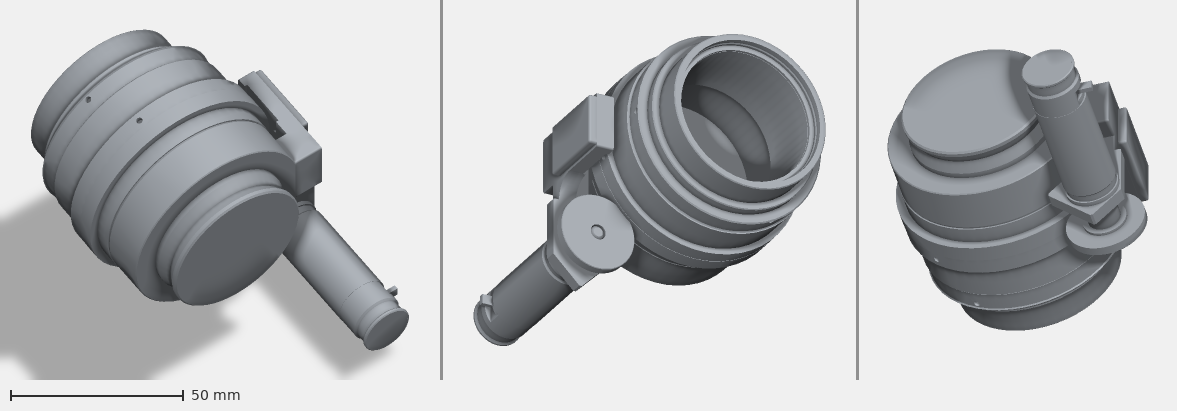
import cadquery as cq
import math


EDGE_CHAMFER = 0.3

RIM_RADIUS = 24.7
COLLAR_START = 9.7
COLLAR_RADIUS = 26.9
FOCUS_START = 13
FOCUS_END = 19.3
FOCUS_RADIUS = 29.5
FOCUS_LIP_RADIUS = 29.9
SLEEVE_START = 19.6
SLEEVE_RADIUS = 30.1
ZOOM_RING_START = 30.1
GEAR_RING_START = 35
GEAR_RING_END = 40.0
ZOOM_RING_RADIUS = 31.9
GEAR_RING_RADIUS = 32
REAR_SLEEVE_RADIUS = 29.4
REAR_GROOVE_START = 45.0
REAR_GROOVE_RADIUS = 28.9
REAR_HOUSING_START = 45.7
REAR_HOUSING_END = 58.7
REAR_HOUSING_RADIUS = 29.2
MOUNT_RADIUS = 22.2
V_GROOVE_START = 60.4
V_GROOVE_BOTTOM = 63.7
V_GROOVE_END = 67.0
V_GROOVE_RADIUS = 20.5
MOUNT_CHAMFER_START = 68.1
MOUNT_CHAMFER = 0.5

RIM_BORE_RADIUS = 22.7
RIM_BORE_DEPTH = 2
SEAT_RADIUS = 22.4
SEAT_DEPTH = 3.2
LIP_RADIUS = 20.9
LIP_DEPTH = 4.1
BORE_RADIUS = 20.8
BORE_DEPTH = 27.6
CHAMBER_RADIUS = SEAT_RADIUS
CHAMBER_DEPTH = 45.1

SCREW_HOLE_DIAMETER = 1.9
SCREW_HOLE_DEPTH = 1.7
SCREWS_PER_RING = 3
FOCUS_SCREW_X = 14.9
FOCUS_SCREW_ANGLE = 120
ZOOM_SCREW_X = 32.5
ZOOM_SCREW_ANGLE = 106.7

FLAT_Y = 27.8

MOTOR_Y = 30.9
MOTOR_Z = -30
GEAR_START = 36.2
GEAR_END = 39.1
GEAR_RADIUS = 11.9
GEAR_CHAMFER = 0.2
GEAR_BORE_RADIUS = 2.4
SHAFT_DIAMETER = 4.3
SHAFT_RADIUS = SHAFT_DIAMETER / 2
SHAFT_CHAMFER = 0.7
HUB_FLANGE_RADIUS = 6.6
HUB_FLANGE_END = 40.0
HUB_RADIUS = 4.9
HUB_END = 47.3
SPINDLE_RADIUS = 2.6

MOTOR_RADIUS = 8
FRONT_NECK_START = 53.5
FRONT_NECK_END = 55.6
FRONT_NECK_RADIUS = 7.5
MOTOR_SHOULDER = 56.2
CAP_START = 87.2
CAP_RADIUS = 7.9
CAP_END = 94.5
REAR_NECK_START = 95.2
REAR_NECK_END = 98.4
REAR_NECK_RADIUS = 7.3
END_FLANGE_START = 99.0
END_FLANGE_CHAMFER_START = 99.6
END_FLANGE_CHAMFER = 0.3
MOTOR_END = 99.9

CAP_FLAT_Y = 37.0
CAP_FLAT_END = 92.4
CORE_RADIUS = 7.5
TERMINAL_START = 88.9
TERMINAL_END = 90.3
TERMINAL_TOP_Y = 41.5
TERMINAL_HEIGHT = 3

END_PIN_DIAMETER = 0.35
END_PIN_OFFSET = 7.2
END_PIN_TIP = 100.1

ARM_START = 24.2
ARM_END = 58.3
ARM_BOTTOM = -9
ARM_TOP = 8.4
ARM_INNER_Y = 32
ARM_OUTER_Y = 37.5
ARM_FILLET = 0.6

RELIEF_START = 27.4
RELIEF_END = 43.1
RELIEF_Y = 32.9

BOSS_X = 42.8
BOSS_DIAMETER = 4.3
BOSS_Y = 32.3

LID_START = 24.4
LID_BOTTOM = -8.1
LID_TOP = 7.5
LID_Y = 40.0
LID_FILLET = 0.7

PLATE_START = 48.3
PLATE_END = 52.1
PLATE_TOP = -15.4
PLATE_OUTER_Y = 39.4
PLATE_FILLET = 0.5
NOSE_Y = 17.5
NOSE_TOP = -28.4
NOSE_BOTTOM = -29.4
PLATE_BOTTOM = -42.0
PLATE_BOTTOM_Y = 30.8


def revolve_about_x(corners):
    """Solid of revolution about the X axis under the given (x, radius) corners."""
    first_x = corners[0][0]
    last_x = corners[-1][0]
    outline = [(first_x, 0)] + corners + [(last_x, 0)]
    return cq.Workplane("XY").polyline(outline).close().revolve(360, (0, 0, 0), (1, 0, 0))


def cylinder_about_x(start, end, radius):
    return revolve_about_x([(start, radius), (end, radius)])


def box(x_range, y_range, z_range):
    """Box given by its (low, high) limits along each axis."""
    size = [high - low for low, high in (x_range, y_range, z_range)]
    corner = (x_range[0], y_range[0], z_range[0])
    return cq.Workplane("XY").box(*size, centered=False).translate(corner)


def move_to_motor_axis(shape):
    return shape.translate((0, MOTOR_Y, MOTOR_Z))


def lens_outside():
    c = EDGE_CHAMFER
    return revolve_about_x([
        (0, RIM_RADIUS - c), (c, RIM_RADIUS), (COLLAR_START, RIM_RADIUS),
        (COLLAR_START, COLLAR_RADIUS - c), (COLLAR_START + c, COLLAR_RADIUS), (FOCUS_START, COLLAR_RADIUS),
        (FOCUS_START, FOCUS_RADIUS), (FOCUS_START + c, FOCUS_LIP_RADIUS), (FOCUS_START + 2 * c, FOCUS_RADIUS),
        (FOCUS_END - c, FOCUS_RADIUS), (FOCUS_END, FOCUS_LIP_RADIUS), (SLEEVE_START, FOCUS_RADIUS),
        (SLEEVE_START, SLEEVE_RADIUS), (ZOOM_RING_START, SLEEVE_RADIUS),
        (ZOOM_RING_START, ZOOM_RING_RADIUS), (GEAR_RING_START, ZOOM_RING_RADIUS),
        (GEAR_RING_START, GEAR_RING_RADIUS), (GEAR_RING_END, GEAR_RING_RADIUS),
        (GEAR_RING_END, REAR_SLEEVE_RADIUS), (REAR_GROOVE_START, REAR_SLEEVE_RADIUS),
        (REAR_GROOVE_START, REAR_GROOVE_RADIUS), (REAR_HOUSING_START, REAR_GROOVE_RADIUS),
        (REAR_HOUSING_START, REAR_HOUSING_RADIUS), (REAR_HOUSING_END - c, REAR_HOUSING_RADIUS),
        (REAR_HOUSING_END, REAR_HOUSING_RADIUS - c),
        (REAR_HOUSING_END, MOUNT_RADIUS), (V_GROOVE_START, MOUNT_RADIUS), (V_GROOVE_BOTTOM, V_GROOVE_RADIUS),
        (V_GROOVE_END, MOUNT_RADIUS), (MOUNT_CHAMFER_START, MOUNT_RADIUS),
        (MOUNT_CHAMFER_START + MOUNT_CHAMFER, MOUNT_RADIUS - MOUNT_CHAMFER),
    ])


def lens_opening():
    taper_end = RIM_BORE_DEPTH + RIM_BORE_RADIUS - SEAT_RADIUS
    return revolve_about_x([
        (0, RIM_BORE_RADIUS), (RIM_BORE_DEPTH, RIM_BORE_RADIUS),
        (taper_end, SEAT_RADIUS), (SEAT_DEPTH, SEAT_RADIUS),
        (SEAT_DEPTH, LIP_RADIUS), (LIP_DEPTH, LIP_RADIUS),
        (LIP_DEPTH, BORE_RADIUS), (BORE_DEPTH, BORE_RADIUS),
        (BORE_DEPTH, CHAMBER_RADIUS), (CHAMBER_DEPTH, CHAMBER_RADIUS),
    ])


def cut_setscrew_holes(lens, x, ring_radius, first_angle):
    """Drill the evenly spaced blind radial holes of one ring."""
    for index in range(SCREWS_PER_RING):
        angle = math.radians(first_angle + index * 360 / SCREWS_PER_RING)
        outward = cq.Vector(0, math.cos(angle), math.sin(angle))
        bottom = cq.Vector(x, 0, 0) + outward * (ring_radius - SCREW_HOLE_DEPTH)
        hole = cq.Solid.makeCylinder(SCREW_HOLE_DIAMETER / 2, 2 * SCREW_HOLE_DEPTH, bottom, outward)
        lens = lens.cut(cq.Workplane(hole))
    return lens


def make_lens():
    lens = lens_outside().cut(lens_opening())
    lens = cut_setscrew_holes(lens, FOCUS_SCREW_X, FOCUS_RADIUS, FOCUS_SCREW_ANGLE)
    lens = cut_setscrew_holes(lens, ZOOM_SCREW_X, ZOOM_RING_RADIUS, ZOOM_SCREW_ANGLE)
    above_flat = box(
        (REAR_HOUSING_START, REAR_HOUSING_END),
        (FLAT_Y, GEAR_RING_RADIUS),
        (-REAR_HOUSING_RADIUS, REAR_HOUSING_RADIUS),
    )
    gear_recess = move_to_motor_axis(cylinder_about_x(GEAR_START, GEAR_END, GEAR_RADIUS))
    return lens.cut(above_flat).cut(gear_recess)


def motor_turned_parts():
    """Gear, hub, spindle and motor housing, turned about the X axis."""
    turned = revolve_about_x([
        (GEAR_START, GEAR_RADIUS - GEAR_CHAMFER), (GEAR_START + GEAR_CHAMFER, GEAR_RADIUS),
        (GEAR_END, GEAR_RADIUS),
        (GEAR_END, HUB_FLANGE_RADIUS), (HUB_FLANGE_END, HUB_FLANGE_RADIUS),
        (HUB_FLANGE_END, HUB_RADIUS), (HUB_END, HUB_RADIUS),
        (HUB_END, SPINDLE_RADIUS), (PLATE_END, SPINDLE_RADIUS),
        (PLATE_END, MOTOR_RADIUS), (FRONT_NECK_START, MOTOR_RADIUS),
        (FRONT_NECK_START, FRONT_NECK_RADIUS), (FRONT_NECK_END, FRONT_NECK_RADIUS),
        (MOTOR_SHOULDER, MOTOR_RADIUS), (CAP_START, MOTOR_RADIUS),
        (CAP_START, CAP_RADIUS), (CAP_END, CAP_RADIUS),
        (REAR_NECK_START, REAR_NECK_RADIUS), (REAR_NECK_END, REAR_NECK_RADIUS),
        (END_FLANGE_START, CAP_RADIUS), (END_FLANGE_CHAMFER_START, CAP_RADIUS),
        (MOTOR_END, CAP_RADIUS - END_FLANGE_CHAMFER),
    ])
    gear_bore = cylinder_about_x(GEAR_START, GEAR_END, GEAR_BORE_RADIUS)
    shaft = revolve_about_x([
        (GEAR_START, SHAFT_RADIUS - SHAFT_CHAMFER), (GEAR_START + SHAFT_CHAMFER, SHAFT_RADIUS),
        (HUB_FLANGE_END, SHAFT_RADIUS),
    ])
    return turned.cut(gear_bore).union(shaft)


def add_cap_terminal(motor):
    """Cut the flat in the end cap and stand the core disc and the terminal tab in it."""
    above_flat = box(
        (CAP_START, CAP_FLAT_END),
        (CAP_FLAT_Y - MOTOR_Y, MOTOR_RADIUS),
        (-MOTOR_RADIUS, MOTOR_RADIUS),
    )
    core = cylinder_about_x(CAP_START, TERMINAL_START, CORE_RADIUS)
    terminal = box(
        (TERMINAL_START, TERMINAL_END),
        (0, TERMINAL_TOP_Y - MOTOR_Y),
        (-TERMINAL_HEIGHT / 2, TERMINAL_HEIGHT / 2),
    )
    return motor.cut(above_flat).union(core).union(terminal)


def end_pin():
    pin_radius = END_PIN_DIAMETER / 2
    return cylinder_about_x(END_FLANGE_START, END_PIN_TIP, pin_radius).translate((0, END_PIN_OFFSET, 0))


def make_motor():
    motor = add_cap_terminal(motor_turned_parts()).union(end_pin())
    return move_to_motor_axis(motor)


def bracket_arm():
    """Arm beside the barrel, relieved towards the rings, with the pad that sits on the flat."""
    height = (ARM_BOTTOM, ARM_TOP)
    arm = box((ARM_START, ARM_END), (ARM_INNER_Y, ARM_OUTER_Y), height).edges("|Y").fillet(ARM_FILLET)
    arm = arm.cut(box((RELIEF_START, RELIEF_END), (ARM_INNER_Y, RELIEF_Y), height))
    pad = box((PLATE_START, ARM_END), (FLAT_Y, ARM_INNER_Y), height).edges("|Y and >X").fillet(ARM_FILLET)
    boss = (
        cq.Workplane("XZ", origin=(BOSS_X, BOSS_Y, 0))
        .circle(BOSS_DIAMETER / 2)
        .extrude(BOSS_Y - ARM_OUTER_Y)
    )
    return arm.union(pad).union(boss)


def bracket_lid():
    lid = box((LID_START, PLATE_START), (ARM_OUTER_Y, LID_Y), (LID_BOTTOM, LID_TOP))
    return lid.edges("|Y or >Y").fillet(LID_FILLET)


def bracket_plate():
    """Motor plate hanging from the arm; its lower end is a square turned 45 degrees, corners trimmed."""
    outline = [
        (FLAT_Y, 0),
        (FLAT_Y, NOSE_TOP + FLAT_Y - NOSE_Y),
        (NOSE_Y, NOSE_TOP),
        (NOSE_Y, NOSE_BOTTOM),
        (NOSE_Y + NOSE_BOTTOM - PLATE_BOTTOM, PLATE_BOTTOM),
        (PLATE_BOTTOM_Y, PLATE_BOTTOM),
        (PLATE_OUTER_Y, PLATE_BOTTOM + PLATE_OUTER_Y - PLATE_BOTTOM_Y),
        (PLATE_OUTER_Y, PLATE_TOP),
        (ARM_OUTER_Y, PLATE_TOP),
        (ARM_OUTER_Y, 0),
    ]
    plate = (
        cq.Workplane("YZ", origin=(PLATE_START, 0, 0))
        .polyline(outline)
        .close()
        .extrude(PLATE_END - PLATE_START)
    )
    top_corner = cq.NearestToPointSelector((PLATE_START, PLATE_OUTER_Y, PLATE_TOP))
    return plate.faces(">Y").edges("|X and >Z").edges(top_corner).fillet(PLATE_FILLET)


def bracket_web():
    """Concave rounding between the underside of the arm and the front of the plate."""
    radius = ARM_BOTTOM - PLATE_TOP
    web_start = PLATE_START - radius
    web = box((web_start, PLATE_START), (ARM_INNER_Y, ARM_OUTER_Y), (PLATE_TOP, ARM_BOTTOM))
    hollow = cq.Workplane("XZ", origin=(web_start, 0, PLATE_TOP)).circle(radius).extrude(-PLATE_OUTER_Y)
    return web.cut(hollow)


def make_bracket():
    bracket = bracket_arm().union(bracket_lid()).union(bracket_plate()).union(bracket_web())
    spindle_hole = move_to_motor_axis(cylinder_about_x(PLATE_START, PLATE_END, SPINDLE_RADIUS))
    return bracket.cut(spindle_hole)


lens = make_lens()
bracket = make_bracket()
motor = make_motor()
result = cq.Compound.makeCompound([lens.solids().val(), bracket.solids().val(), motor.solids().val()])